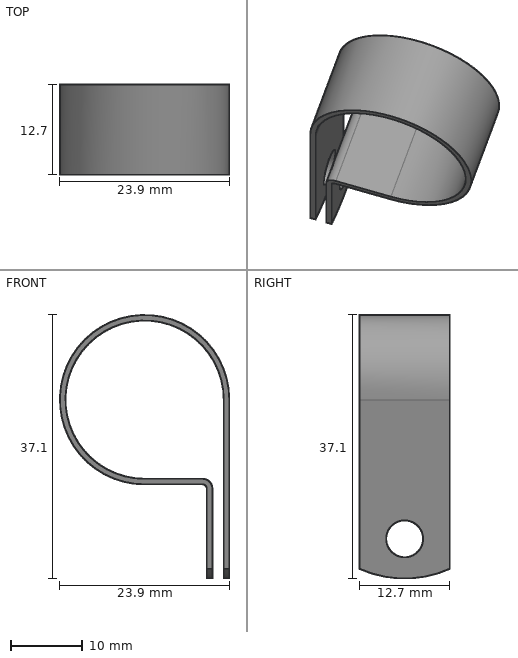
import cadquery as cq
import math

height = 37.07
loop_diameter = 23.85
band_width = 12.7
thickness = 0.8
leg_gap = 1.55
bend_outer_radius = 1.4
hole_diameter = 5.15
hole_height = 5.6
end_arc_rise = 1.37

outer_radius = loop_diameter / 2
inner_radius = outer_radius - thickness
leg_bottom = outer_radius - height
short_leg_outer_x = inner_radius - leg_gap
short_leg_inner_x = short_leg_outer_x - thickness
bend_inner_radius = bend_outer_radius - thickness
bend_x = short_leg_outer_x - bend_outer_radius
bend_z = -inner_radius - bend_outer_radius
half_width = band_width / 2
diagonal = math.sqrt(0.5)


def strip_profile():
    """Closed side outline of the bent strip, from the long leg to the short leg."""
    return (
        cq.Workplane("XZ")
        .moveTo(outer_radius, leg_bottom)
        .lineTo(outer_radius, 0)
        .threePointArc(
            (-outer_radius * diagonal, outer_radius * diagonal), (0, -outer_radius)
        )
        .lineTo(bend_x, -outer_radius)
        .threePointArc(
            (bend_x + bend_inner_radius * diagonal, bend_z + bend_inner_radius * diagonal),
            (short_leg_inner_x, bend_z),
        )
        .lineTo(short_leg_inner_x, leg_bottom)
        .lineTo(short_leg_outer_x, leg_bottom)
        .lineTo(short_leg_outer_x, bend_z)
        .threePointArc(
            (bend_x + bend_outer_radius * diagonal, bend_z + bend_outer_radius * diagonal),
            (bend_x, -inner_radius),
        )
        .lineTo(0, -inner_radius)
        .threePointArc(
            (-inner_radius * diagonal, inner_radius * diagonal), (inner_radius, 0)
        )
        .lineTo(inner_radius, leg_bottom)
        .close()
    )


def rounded_end_envelope():
    """Block around the whole strip whose underside is the arc of the leg ends."""
    return (
        cq.Workplane("YZ")
        .moveTo(-half_width, outer_radius)
        .lineTo(-half_width, leg_bottom + end_arc_rise)
        .threePointArc((0, leg_bottom), (half_width, leg_bottom + end_arc_rise))
        .lineTo(half_width, outer_radius)
        .close()
        .extrude(outer_radius, both=True)
    )


def screw_hole():
    """Cylinder along X that passes through both legs."""
    return (
        cq.Workplane("YZ")
        .center(0, leg_bottom + hole_height)
        .circle(hole_diameter / 2)
        .extrude(outer_radius)
    )


strip = strip_profile().extrude(half_width, both=True)
result = strip.intersect(rounded_end_envelope()).cut(screw_hole())